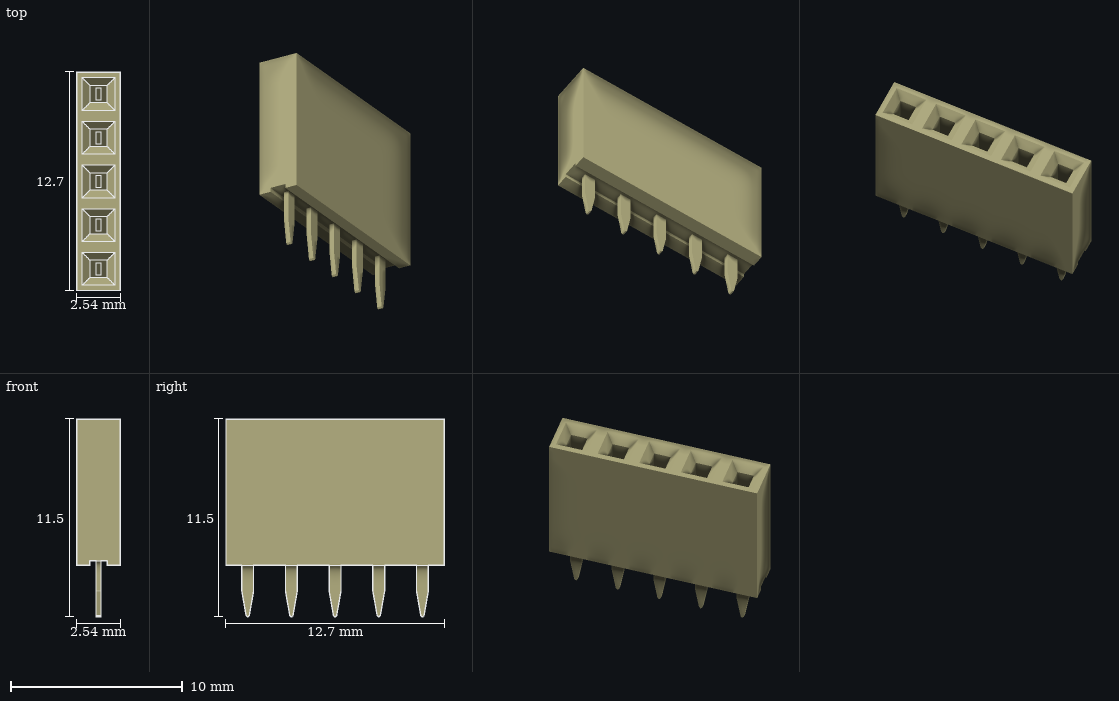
import cadquery as cq

position_count = 5
pitch = 2.54
housing_width = pitch
housing_length = position_count * pitch
housing_height = 8.51

mouth_size = 1.9
shaft_size = 1.0
lead_in_depth = 0.45
socket_depth = 6.0

groove_width = 1.0
groove_depth = 0.25

pin_thickness = 0.3
pin_width = 0.7
pin_drop = 3.0
straight_drop = 1.5
taper_end_width = 0.2
tip_width = 0.05
tip_height = 0.09

shaft_floor_z = housing_height - socket_depth
pin_positions = [(index - (position_count - 1) / 2) * pitch for index in range(position_count)]


def make_socket(y):
    """Space of one socket: the tapered lead-in and the shaft under it."""
    lead_in = (
        cq.Workplane("XY", origin=(0, y, housing_height))
        .rect(mouth_size, mouth_size)
        .workplane(offset=-lead_in_depth)
        .rect(shaft_size, shaft_size)
        .loft(ruled=True)
    )
    shaft = (
        cq.Workplane("XY", origin=(0, y, shaft_floor_z))
        .rect(shaft_size, shaft_size)
        .extrude(socket_depth - lead_in_depth)
    )
    return lead_in.union(shaft)


def make_pin(y):
    """One pin, flush with the shaft floor at its top and pointing down."""
    half_width = pin_width / 2
    half_taper_end = taper_end_width / 2
    half_tip = tip_width / 2
    taper_start_z = -straight_drop
    taper_end_z = tip_height - pin_drop
    return (
        cq.Workplane("YZ", origin=(0, y, 0))
        .moveTo(-half_width, shaft_floor_z)
        .lineTo(half_width, shaft_floor_z)
        .lineTo(half_width, taper_start_z)
        .lineTo(half_taper_end, taper_end_z)
        .lineTo(half_tip, -pin_drop)
        .lineTo(-half_tip, -pin_drop)
        .lineTo(-half_taper_end, taper_end_z)
        .lineTo(-half_width, taper_start_z)
        .close()
        .extrude(pin_thickness / 2, both=True)
    )


def make_pin_slot(y):
    """Space the pin fills between the shaft floor and the underside."""
    return (
        cq.Workplane("XY", origin=(0, y, 0))
        .rect(pin_thickness, pin_width)
        .extrude(shaft_floor_z)
    )


def make_housing():
    """Block with the underside groove, and a socket and pin slot at each position."""
    block = cq.Workplane("XY").rect(housing_width, housing_length).extrude(housing_height)
    groove = cq.Workplane("XY").rect(groove_width, housing_length).extrude(groove_depth)
    body = block.cut(groove)
    for y in pin_positions:
        body = body.cut(make_socket(y)).cut(make_pin_slot(y))
    return body


housing = make_housing()
pins = [make_pin(y) for y in pin_positions]

result = cq.Compound.makeCompound([housing.val(), *[pin.val() for pin in pins]])